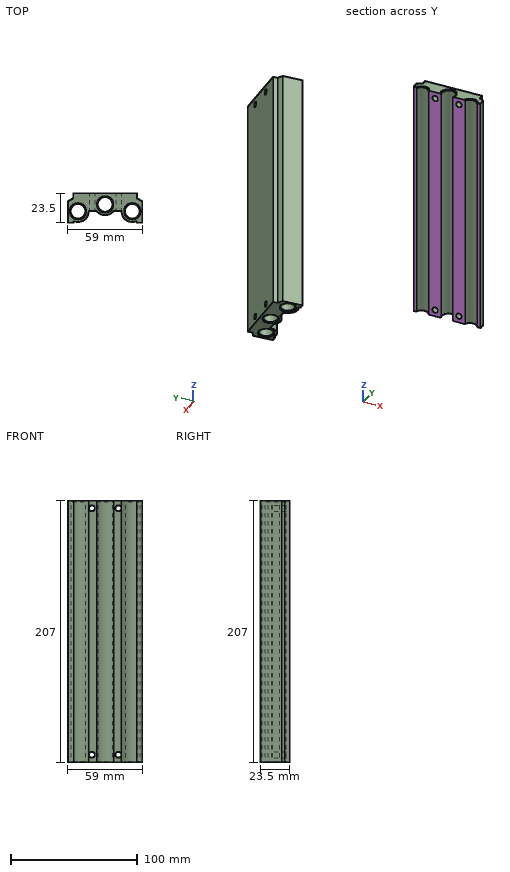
import cadquery as cq
import math

width = 59.0
depth = 23.5
length = 207.0

back_width = 50.5
shoulder_step = 4.0
shoulder_angle = 30.0

boss_radius = 8.6
bore_diameter = 11.5
bore_chamfer = 0.8
side_bore_x = 21.5
side_bore_y = 9.2
middle_bore_y = 14.6

web_y = 9.3
foot_width = 4.5

cross_hole_diameter = 4.5
cross_hole_x = 10.5
cross_hole_end_distance = 6.0

half_width = width / 2
half_back = back_width / 2
shoulder_y = depth - shoulder_step
shoulder_drop = (half_width - half_back) * math.tan(math.radians(shoulder_angle))
bore_centers = [
    (-side_bore_x, side_bore_y),
    (0, middle_bore_y),
    (side_bore_x, side_bore_y),
]


def make_body():
    """Shouldered bar with its front face on the web plane."""
    return (
        cq.Workplane("XY")
        .moveTo(-half_width, web_y)
        .lineTo(half_width, web_y)
        .lineTo(half_width, shoulder_y - shoulder_drop)
        .lineTo(half_back, shoulder_y)
        .lineTo(half_back, depth)
        .lineTo(-half_back, depth)
        .lineTo(-half_back, shoulder_y)
        .lineTo(-half_width, shoulder_y - shoulder_drop)
        .close()
        .extrude(length)
    )


def make_foot(side):
    """Foot from the web plane to the front at one corner; side is -1 or 1 along X."""
    center_x = side * (half_width - foot_width / 2)
    return (
        cq.Workplane("XY")
        .center(center_x, web_y / 2)
        .rect(foot_width, web_y)
        .extrude(length)
    )


def make_boss(center):
    """Full-length round boss around one bore, kept within the bar's width."""
    envelope = cq.Workplane("XY").box(width, depth, length, centered=(True, False, False))
    return cq.Workplane("XY").center(*center).circle(boss_radius).extrude(length).intersect(envelope)


def make_bore(center):
    """Full-length bore, widened by a chamfer at both ends."""
    radius = bore_diameter / 2
    mouth_radius = radius + bore_chamfer
    profile = (
        cq.Workplane("XZ")
        .moveTo(0, 0)
        .lineTo(mouth_radius, 0)
        .lineTo(radius, bore_chamfer)
        .lineTo(radius, length - bore_chamfer)
        .lineTo(mouth_radius, length)
        .lineTo(0, length)
        .close()
    )
    x, y = center
    return profile.revolve(360, (0, 0, 0), (0, 1, 0)).translate((x, y, 0))


def make_cross_holes():
    """Four holes along Y, two near each end."""
    places = []
    for x in (-cross_hole_x, cross_hole_x):
        for z in (cross_hole_end_distance, length - cross_hole_end_distance):
            places.append((x, z))
    return cq.Workplane("XZ").pushPoints(places).circle(cross_hole_diameter / 2).extrude(-depth)


result = make_body()
for side in (-1, 1):
    result = result.union(make_foot(side))
for center in bore_centers:
    result = result.union(make_boss(center))
for center in bore_centers:
    result = result.cut(make_bore(center))
result = result.cut(make_cross_holes())